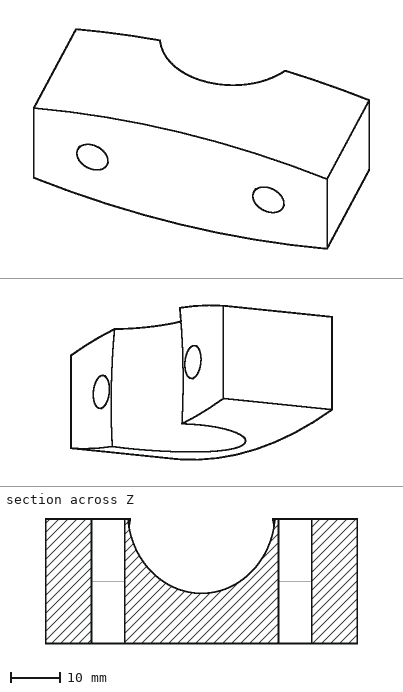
import cadquery as cq
import math

length = 63.5
depth = 25.4
height = 25.4
end_height = 19.25

hole_diameter = 6.7
hole_spacing = 38.1

saddle_radius = 15.0
saddle_top_depth = 9.2
saddle_tilt = 25.0


def bowed_block():
    """Block with flat ends and arched top and bottom."""
    return (
        cq.Workplane("XZ")
        .moveTo(-length / 2, -end_height / 2)
        .threePointArc((0, -height / 2), (length / 2, -end_height / 2))
        .lineTo(length / 2, end_height / 2)
        .threePointArc((0, height / 2), (-length / 2, end_height / 2))
        .close()
        .extrude(depth / 2, both=True)
    )


def saddle_cutter():
    """Tilted cylinder reaching saddle_top_depth into the block at the crown of the top face."""
    tilt = math.radians(saddle_tilt)
    center_y_at_top = depth / 2 - saddle_top_depth + saddle_radius / math.cos(tilt)
    center_y = center_y_at_top - height / 2 * math.tan(tilt)
    axis_plane = cq.Plane(
        origin=(0, center_y, 0),
        xDir=(1, 0, 0),
        normal=(0, math.sin(tilt), math.cos(tilt)),
    )
    return cq.Workplane(axis_plane).circle(saddle_radius).extrude(2 * height, both=True)


def hole_cutters():
    """Pair of cylinders running the full depth of the block."""
    return (
        cq.Workplane("XZ")
        .pushPoints([(-hole_spacing / 2, 0), (hole_spacing / 2, 0)])
        .circle(hole_diameter / 2)
        .extrude(depth, both=True)
    )


result = bowed_block().cut(saddle_cutter()).cut(hole_cutters())